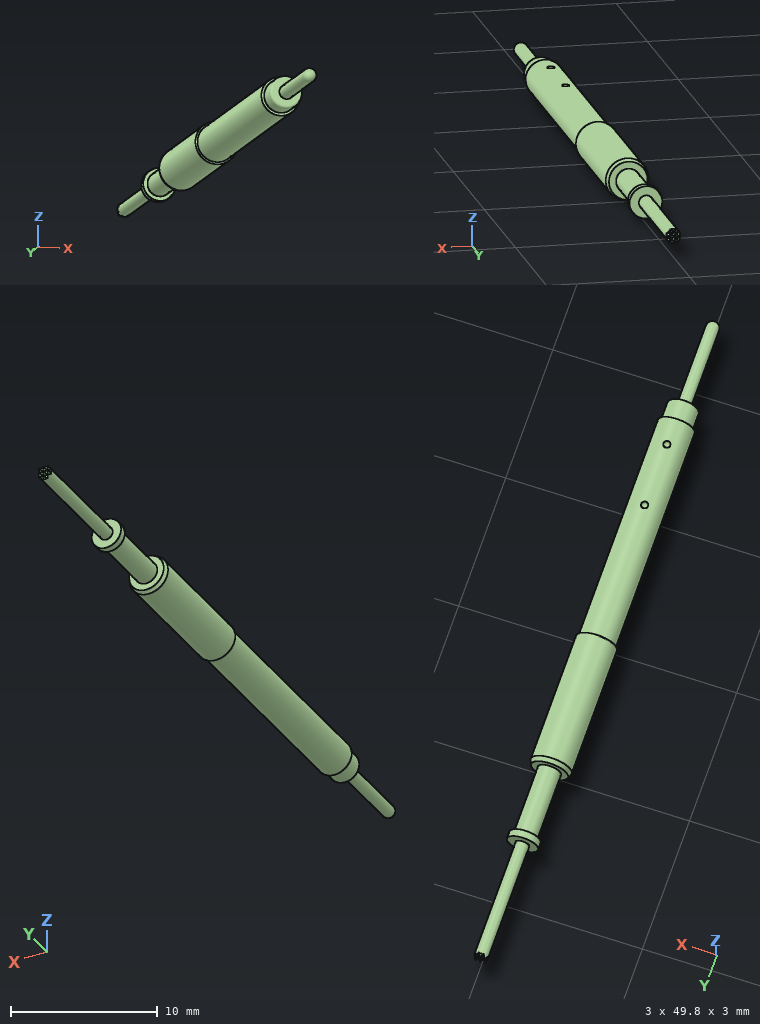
import cadquery as cq

total_length = 49.8
rear_tip = total_length / 2
front_tip = -total_length / 2

plunger_radius = 0.5

flange_radius = 1.15
flange_rear = 15.9
flange_width = 0.55
neck_radius = 0.85

sleeve_radius = 1.5
sleeve_rear = 10.15
sleeve_length = 9.95
sleeve_chamfer_length = 0.35
sleeve_chamfer_depth = 0.15
tube_radius = 1.35
tube_front = -16.75
collar_radius = 1.15
collar_front = -18.35
collar_rounding = 0.2

dimple_radius = 0.25
dimple_stations = (-10.0, -14.75)

crown_pitch = 0.35
crown_depth = 0.3
crown_grooves = 4


def turned_body():
    flange_front = flange_rear - flange_width
    sleeve_front = sleeve_rear - sleeve_length
    nose_base = front_tip + plunger_radius
    outline = (
        cq.Workplane("XY")
        .moveTo(0, rear_tip)
        .lineTo(plunger_radius, rear_tip)
        .lineTo(plunger_radius, flange_rear)
        .lineTo(flange_radius, flange_rear)
        .lineTo(flange_radius, flange_front)
        .lineTo(neck_radius, flange_front)
        .lineTo(neck_radius, sleeve_rear)
        .lineTo(sleeve_radius - sleeve_chamfer_depth, sleeve_rear)
        .lineTo(sleeve_radius, sleeve_rear - sleeve_chamfer_length)
        .lineTo(sleeve_radius, sleeve_front)
        .lineTo(tube_radius, sleeve_front)
        .lineTo(tube_radius, tube_front)
        .lineTo(collar_radius, tube_front)
        .lineTo(collar_radius, collar_front + collar_rounding)
        .radiusArc((collar_radius - collar_rounding, collar_front), collar_rounding)
        .lineTo(plunger_radius, collar_front)
        .lineTo(plunger_radius, nose_base)
        .radiusArc((0, front_tip), plunger_radius)
        .close()
    )
    return outline.revolve(360, (0, 0, 0), (0, 1, 0))


def crown_groove(offset):
    """V groove along Z across the rear end, centred at X = offset."""
    half_width = crown_pitch / 2
    return (
        cq.Workplane("XY")
        .moveTo(offset - half_width, rear_tip)
        .lineTo(offset + half_width, rear_tip)
        .lineTo(offset, rear_tip - crown_depth)
        .close()
        .extrude(2 * plunger_radius, both=True)
    )


def dimple(station):
    return cq.Workplane("XY", origin=(0, station, tube_radius)).sphere(dimple_radius)


result = turned_body()

for station in dimple_stations:
    result = result.cut(dimple(station))

for index in range(crown_grooves):
    groove = crown_groove((index - (crown_grooves - 1) / 2) * crown_pitch)
    result = result.cut(groove)
    result = result.cut(groove.rotate((0, 0, 0), (0, 1, 0), 90))